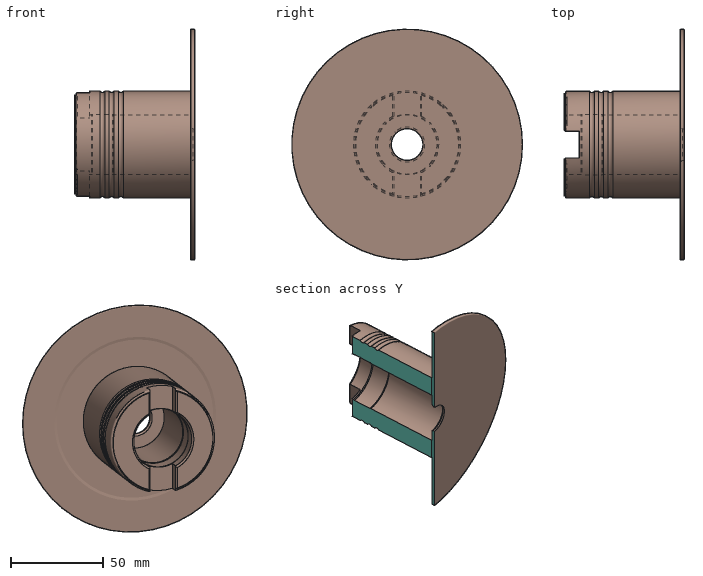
import cadquery as cq
import math

TOTAL_LENGTH = 65.0

DISC_RADIUS = 62.5
DISC_THICKNESS = 2.2
DISC_RIM_FILLET = 0.5
RECESS_RADIUS = 45.1
RECESS_SLOPE_WIDTH = 1.5
RECESS_DEPTH = 0.2
HOLE_RADIUS = 8.5
HOLE_CHAMFER = 1.0

SLEEVE_RADIUS = 29.0
SLEEVE_LENGTH = TOTAL_LENGTH - DISC_THICKNESS + RECESS_DEPTH
NOSE_RADIUS = 27.9
NOSE_LENGTH = 0.8
SHOULDER_FILLET = 0.8

BORE_RADIUS = 16.1
BORE_CHAMFER = 1.0
RELIEF_START = 9.0
RELIEF_END = 21.0
RELIEF_DEPTH = 0.2
RELIEF_TAPER = 0.6

GROOVE_FIRST = 15.0
GROOVE_PITCH = 5.0
GROOVE_COUNT = 3
GROOVE_DEPTH = 0.8
GROOVE_ARC_RADIUS = 1.6

SLOT_WIDTH = 14.2
SLOT_DEPTH = 8.0
SLOT_CHAMFER = 0.8


def revolve_about_x(profile):
    """Turn a closed profile, drawn as (X, radius), about the X axis."""
    return profile.close().revolve(360, (0, 0, 0), (1, 0, 0))


def sleeve_blank():
    """Turned sleeve with its stepped, rounded nose and relieved bore."""
    ledge_radius = SLEEVE_RADIUS - SHOULDER_FILLET
    fillet_end = NOSE_LENGTH + SHOULDER_FILLET
    fillet_bulge = SHOULDER_FILLET * math.sqrt(0.5)
    relief_radius = BORE_RADIUS + RELIEF_DEPTH
    profile = (
        cq.Workplane("XY")
        .moveTo(0, BORE_RADIUS + BORE_CHAMFER)
        .lineTo(0, NOSE_RADIUS)
        .lineTo(NOSE_LENGTH, NOSE_RADIUS)
        .lineTo(NOSE_LENGTH, ledge_radius)
        .threePointArc(
            (fillet_end - fillet_bulge, ledge_radius + fillet_bulge),
            (fillet_end, SLEEVE_RADIUS),
        )
        .lineTo(SLEEVE_LENGTH, SLEEVE_RADIUS)
        .lineTo(SLEEVE_LENGTH, BORE_RADIUS)
        .lineTo(RELIEF_END, BORE_RADIUS)
        .lineTo(RELIEF_END - RELIEF_TAPER, relief_radius)
        .lineTo(RELIEF_START + RELIEF_TAPER, relief_radius)
        .lineTo(RELIEF_START, BORE_RADIUS)
        .lineTo(BORE_CHAMFER, BORE_RADIUS)
    )
    return revolve_about_x(profile)


def groove_cutter(center_x):
    """Ring of circular section that cuts one groove into the sleeve."""
    arc_center_radius = SLEEVE_RADIUS - GROOVE_DEPTH + GROOVE_ARC_RADIUS
    ring = cq.Solid.makeTorus(
        arc_center_radius, GROOVE_ARC_RADIUS, cq.Vector(center_x, 0, 0), cq.Vector(1, 0, 0)
    )
    return cq.Workplane(ring)


def slot_cutter():
    """Slot section with chamfered mouth edges, running the full height in Z."""
    half_width = SLOT_WIDTH / 2
    mouth_half_width = half_width + SLOT_CHAMFER
    return (
        cq.Workplane("XY")
        .polyline([
            (0, -mouth_half_width),
            (SLOT_CHAMFER, -half_width),
            (SLOT_DEPTH, -half_width),
            (SLOT_DEPTH, half_width),
            (SLOT_CHAMFER, half_width),
            (0, mouth_half_width),
        ])
        .close()
        .extrude(SLEEVE_RADIUS * 2, both=True)
    )


def make_sleeve():
    sleeve = sleeve_blank().cut(slot_cutter())
    for index in range(GROOVE_COUNT):
        sleeve = sleeve.cut(groove_cutter(GROOVE_FIRST + index * GROOVE_PITCH))
    return sleeve


def make_disc():
    """Disc with rounded rim, shallow front recess and chamfered center hole."""
    front = TOTAL_LENGTH - DISC_THICKNESS
    recess_floor = front + RECESS_DEPTH
    profile = cq.Workplane("XY").polyline([
        (recess_floor, HOLE_RADIUS + HOLE_CHAMFER),
        (recess_floor, RECESS_RADIUS - RECESS_SLOPE_WIDTH),
        (front, RECESS_RADIUS),
        (front, DISC_RADIUS),
        (TOTAL_LENGTH, DISC_RADIUS),
        (TOTAL_LENGTH, HOLE_RADIUS),
        (recess_floor + HOLE_CHAMFER, HOLE_RADIUS),
    ])
    rim_edges = cq.selectors.RadiusNthSelector(-1)
    return revolve_about_x(profile).edges("%CIRCLE").edges(rim_edges).fillet(DISC_RIM_FILLET)


sleeve = make_sleeve()
disc = make_disc()

result = cq.Compound.makeCompound([sleeve.val(), disc.val()])